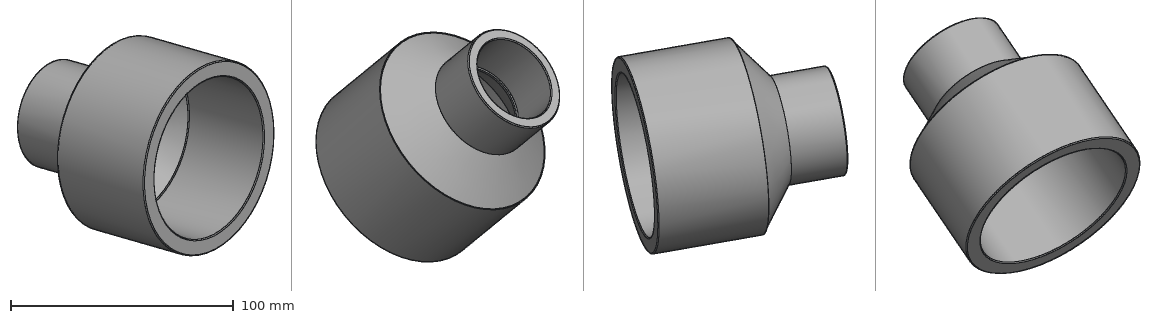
import cadquery as cq

length = 92.5
small_outer_diameter = 50.0
small_socket_diameter = 40.0
small_stop_diameter = 38.0
large_outer_diameter = 90.0
large_socket_diameter = 75.0
large_stop_diameter = 73.0

neck_length = 26.2
large_body_start = 41.35
shoulder_step = 0.5
edge_chamfer = 0.5

small_socket_depth = 26.0
small_stop_width = 1.0
large_socket_depth = 44.0

small_outer_radius = small_outer_diameter / 2
small_socket_radius = small_socket_diameter / 2
small_stop_radius = small_stop_diameter / 2
large_outer_radius = large_outer_diameter / 2
large_socket_radius = large_socket_diameter / 2
large_stop_radius = large_stop_diameter / 2


def revolve_about_x(profile):
    """Revolve a closed XY profile a full turn about the X axis."""
    return profile.close().revolve(360, (0, 0, 0), (1, 0, 0))


def make_outer_body():
    """Neck, conical shoulder and large body, with both outer rims chamfered."""
    profile = (
        cq.Workplane("XY")
        .lineTo(0, small_outer_radius - edge_chamfer)
        .lineTo(edge_chamfer, small_outer_radius)
        .lineTo(neck_length, small_outer_radius)
        .lineTo(large_body_start, large_outer_radius - shoulder_step)
        .lineTo(large_body_start, large_outer_radius)
        .lineTo(length - edge_chamfer, large_outer_radius)
        .lineTo(length, large_outer_radius - edge_chamfer)
        .lineTo(length, 0)
    )
    return revolve_about_x(profile)


def make_passage():
    """Two pipe sockets with stop ledges joined by a conical bore, mouths chamfered."""
    small_stop_end = small_socket_depth + small_stop_width
    large_socket_start = length - large_socket_depth
    profile = (
        cq.Workplane("XY")
        .lineTo(0, small_socket_radius + edge_chamfer)
        .lineTo(edge_chamfer, small_socket_radius)
        .lineTo(small_socket_depth, small_socket_radius)
        .lineTo(small_socket_depth, small_stop_radius)
        .lineTo(small_stop_end, small_stop_radius)
        .lineTo(large_socket_start, large_stop_radius)
        .lineTo(large_socket_start, large_socket_radius)
        .lineTo(length - edge_chamfer, large_socket_radius)
        .lineTo(length, large_socket_radius + edge_chamfer)
        .lineTo(length, 0)
    )
    return revolve_about_x(profile)


result = make_outer_body().cut(make_passage())